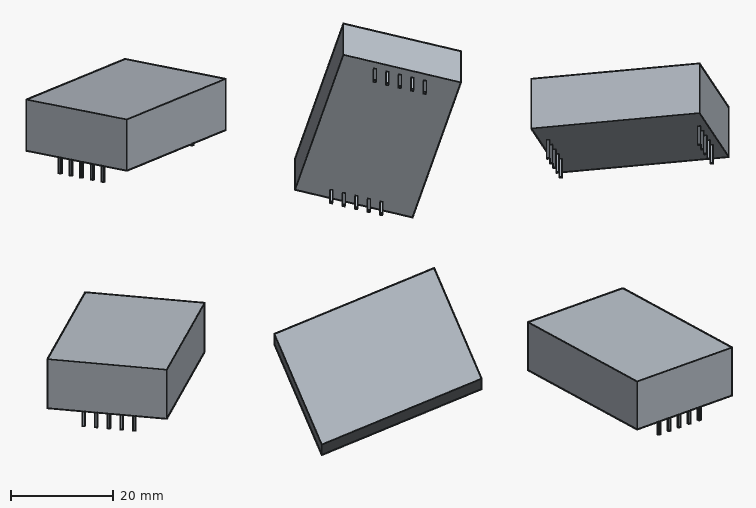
import cadquery as cq

body_width = 24.0
body_length = 34.0
overall_height = 14.3
pin_length = 3.8
body_height = overall_height - pin_length

pin_side = 0.5
pin_pitch = 2.55
pins_per_row = 5
row_spacing = 30.5


def make_body():
    """Block with its underside on Z = 0."""
    return cq.Workplane("XY").box(body_width, body_length, body_height, centered=(True, True, False))


def make_pins():
    """Both rows of pins, hanging down from the underside of the body."""
    return (
        cq.Workplane("XY")
        .rarray(pin_pitch, row_spacing, pins_per_row, 2)
        .rect(pin_side, pin_side)
        .extrude(-pin_length)
    )


result = make_body().union(make_pins())